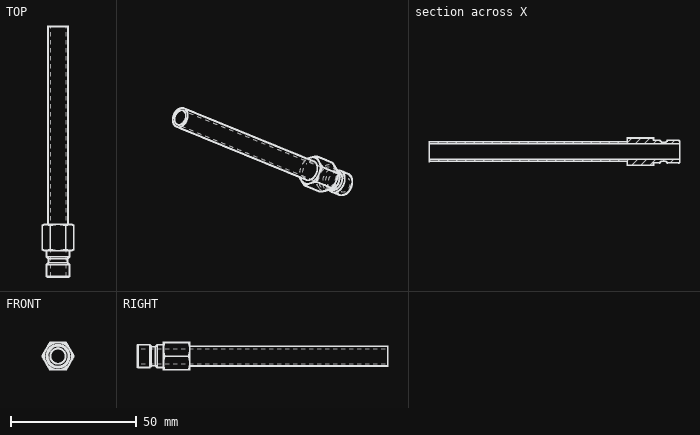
import math

import cadquery as cq

total_length = 100.0
tube_diameter = 8.0
bore_diameter = 6.0

hex_sides = 6
hex_across_flats = 11.0
hex_across_corners = hex_across_flats / math.cos(math.pi / hex_sides)
hex_start = 10.5
hex_length = 10.5
hex_end = hex_start + hex_length
hex_chamfer_angle = 30.0

plug_diameter = 9.2
tip_chamfer = 0.4
groove_diameter = 7.7
groove_start = 4.95
groove_end = 8.05
groove_wall_run = (plug_diameter - groove_diameter) / 2


def revolve_about_y(points):
    """Solid of revolution about Y from (radius, y) points."""
    return cq.Workplane("XY").polyline(points).close().revolve(360, (0, 0, 0), (0, 1, 0))


def make_plug():
    radius = plug_diameter / 2
    groove_radius = groove_diameter / 2
    return revolve_about_y([
        (0, 0),
        (radius - tip_chamfer, 0),
        (radius, tip_chamfer),
        (radius, groove_start),
        (groove_radius, groove_start + groove_wall_run),
        (groove_radius, groove_end - groove_wall_run),
        (radius, groove_end),
        (radius, hex_start),
        (0, hex_start),
    ])


def make_hexagon():
    """Hexagonal prism with its corners turned down conically at both ends."""
    prism = (
        cq.Workplane("XZ", origin=(0, hex_start, 0))
        .polygon(hex_sides, hex_across_corners)
        .extrude(-hex_length)
    )
    slope = math.tan(math.radians(hex_chamfer_angle))
    corner_radius = hex_across_corners / 2
    face_radius = hex_across_flats / 2
    chamfer_run = (corner_radius - face_radius) * slope
    turned_envelope = revolve_about_y([
        (0, hex_start),
        (face_radius, hex_start),
        (corner_radius, hex_start + chamfer_run),
        (corner_radius, hex_end - chamfer_run),
        (face_radius, hex_end),
        (0, hex_end),
    ])
    return prism.intersect(turned_envelope)


def make_cylinder(diameter, start, end):
    """Cylinder on the Y axis between two Y positions."""
    return cq.Workplane("XZ", origin=(0, start, 0)).circle(diameter / 2).extrude(start - end)


tube = make_cylinder(tube_diameter, hex_end, total_length)
bore = make_cylinder(bore_diameter, 0, total_length)

result = make_plug().union(make_hexagon()).union(tube).cut(bore)